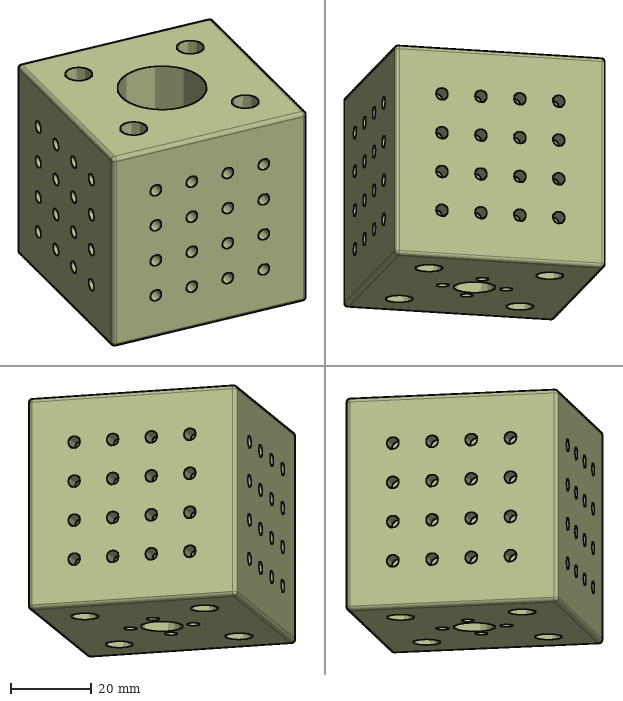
import cadquery as cq

SIDE = 54.0
EDGE_RADIUS = 1.0
SIDE_FACE_COUNT = 4

CORNER_HOLE_DIAMETER = 6.75
CORNER_HOLE_SPACING = 31.0

POCKET_DIAMETER = 22.2
FLOOR_THICKNESS = 6.0
BORE_DIAMETER = 10.35

SCREW_HOLE_COUNT = 4
SCREW_HOLE_DIAMETER = 3.0
SCREW_CIRCLE_RADIUS = 8.15

GRID_COUNT = 4
GRID_PITCH = 10.0
GRID_HOLE_DIAMETER = 3.0
GRID_HOLE_DEPTH = 6.0


def rounded_block():
    return cq.Workplane("XY").box(SIDE, SIDE, SIDE).edges().fillet(EDGE_RADIUS)


def corner_holes():
    return (
        cq.Workplane("XY", origin=(0, 0, -SIDE / 2))
        .rect(CORNER_HOLE_SPACING, CORNER_HOLE_SPACING, forConstruction=True)
        .vertices()
        .circle(CORNER_HOLE_DIAMETER / 2)
        .extrude(SIDE)
    )


def stepped_bore():
    floor = cq.Workplane("XY", origin=(0, 0, -SIDE / 2))
    bore = floor.circle(BORE_DIAMETER / 2).extrude(SIDE)
    pocket = (
        floor.workplane(offset=FLOOR_THICKNESS)
        .circle(POCKET_DIAMETER / 2)
        .extrude(SIDE - FLOOR_THICKNESS)
    )
    screw_holes = (
        floor.polarArray(SCREW_CIRCLE_RADIUS, 0, 360, SCREW_HOLE_COUNT)
        .circle(SCREW_HOLE_DIAMETER / 2)
        .extrude(SIDE)
    )
    return pocket.union(bore).union(screw_holes)


def grid_holes():
    """Hole grid entering the -Y face."""
    return (
        cq.Workplane("XZ", origin=(0, -SIDE / 2, 0))
        .rarray(GRID_PITCH, GRID_PITCH, GRID_COUNT, GRID_COUNT)
        .circle(GRID_HOLE_DIAMETER / 2)
        .extrude(-GRID_HOLE_DEPTH)
    )


result = rounded_block().cut(corner_holes()).cut(stepped_bore())
for side in range(SIDE_FACE_COUNT):
    turn = side * 360 / SIDE_FACE_COUNT
    result = result.cut(grid_holes().rotate((0, 0, 0), (0, 0, 1), turn))